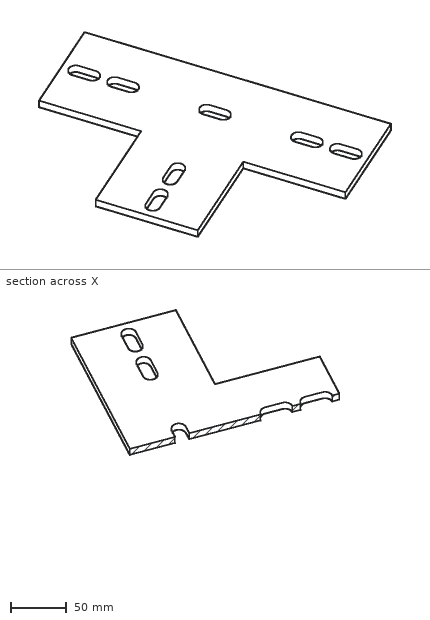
import cadquery as cq

length = 300.0
arm_width = length / 3
depth = 2 * arm_width
thickness = 8.0

slot_length = 30.0
slot_width = 13.5
outer_slot_inset = 22.0
inner_slot_inset = 60.0
slot_insets = (outer_slot_inset, inner_slot_inset)

crossbar_y = (depth - arm_width) / 2
stem_y = -crossbar_y


def plate_arm(size_x, y):
    return cq.Workplane("XY").box(size_x, arm_width, thickness).translate((0, y, 0))


def slot_cutters(centres, angle):
    """Round-ended through slots, with their long axis turned by angle from X."""
    return (
        cq.Workplane("XY")
        .pushPoints(centres)
        .slot2D(slot_length, slot_width, angle)
        .extrude(thickness, both=True)
    )


plate = plate_arm(length, crossbar_y).union(plate_arm(arm_width, stem_y)).clean()

crossbar_slots = [(0, crossbar_y)]
for inset in slot_insets:
    for side in (-1, 1):
        crossbar_slots.append((side * (length / 2 - inset), crossbar_y))

stem_slots = [(0, -depth / 2 + inset) for inset in slot_insets]

result = plate.cut(slot_cutters(crossbar_slots, 0)).cut(slot_cutters(stem_slots, 90))